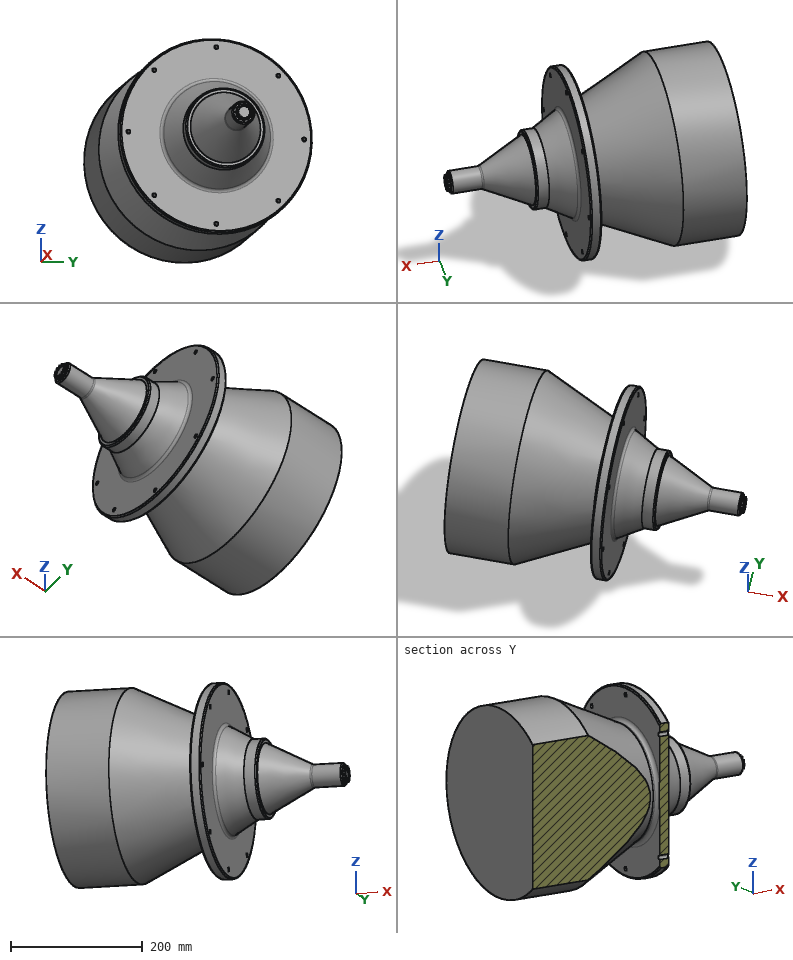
import cadquery as cq
import math

length = 434.0
outer_radius = 149.9

drum_length = 100.0
front_cone_end_x = 218.5
front_neck_radius = 93.7
front_fillet = 6.5

flange_start_x = 228.0
flange_thickness = 17.5
flange_end_x = flange_start_x + flange_thickness
flange_chamfer = 2.0
bolt_count = 8
bolt_circle_radius = 137.0
bolt_hole_diameter = 6.0

rear_blend_radius = 88.5
rear_blend_end_x = 249.0
rear_blend_end_radius = 83.5

collar_start_x = 287.5
collar_end_x = 307.0
collar_radius = 61.5
collar_chamfer = 2.0

rear_cone_radius = 54.5
stem_start_x = 380.5
stem_radius = 18.0
stem_blend_fillet = 5.5
stem_end_x = 429.5
stem_chamfer = 2.0

pin_count = 12
pin_circle_radius = 11.0
pin_diameter = 4.0
pin_base_radius = pin_circle_radius + pin_diameter / 4
pin_base_end_x = 432.0


def revolved_body():
    """Revolve the half outline, drawn as (X, radius), about the X axis."""
    arc_shift = front_fillet * math.sin(math.pi / 4)
    arc_rise = front_fillet * (1 - math.cos(math.pi / 4))
    blend_mid_x = flange_end_x + 0.3 * (rear_blend_end_x - flange_end_x)
    blend_mid_radius = rear_blend_radius - 0.6 * (rear_blend_radius - rear_blend_end_radius)
    outline = (
        cq.Workplane("XZ")
        .lineTo(0, outer_radius)
        .lineTo(drum_length, outer_radius)
        .lineTo(front_cone_end_x, front_neck_radius)
        .lineTo(flange_start_x - front_fillet, front_neck_radius)
        .threePointArc(
            (flange_start_x - front_fillet + arc_shift, front_neck_radius + arc_rise),
            (flange_start_x, front_neck_radius + front_fillet),
        )
        .lineTo(flange_start_x, outer_radius - flange_chamfer)
        .lineTo(flange_start_x + flange_chamfer, outer_radius)
        .lineTo(flange_end_x - flange_chamfer, outer_radius)
        .lineTo(flange_end_x, outer_radius - flange_chamfer)
        .lineTo(flange_end_x, rear_blend_radius)
        .threePointArc(
            (blend_mid_x, blend_mid_radius),
            (rear_blend_end_x, rear_blend_end_radius),
        )
        .lineTo(collar_start_x, collar_radius)
        .lineTo(collar_end_x - collar_chamfer, collar_radius)
        .lineTo(collar_end_x, collar_radius - collar_chamfer)
        .lineTo(collar_end_x, rear_cone_radius)
        .lineTo(stem_start_x, stem_radius)
        .lineTo(stem_end_x - stem_chamfer, stem_radius)
        .lineTo(stem_end_x, stem_radius - stem_chamfer)
        .lineTo(stem_end_x, pin_base_radius)
        .lineTo(pin_base_end_x, pin_base_radius)
        .lineTo(pin_base_end_x, 0)
        .close()
    )
    body = outline.revolve(360, (0, 0, 0), (1, 0, 0))
    stem_root = cq.selectors.BoxSelector(
        (stem_start_x - stem_blend_fillet, -stem_radius, -stem_radius),
        (stem_start_x + stem_blend_fillet, stem_radius, stem_radius),
    )
    return body.edges("%CIRCLE").edges(stem_root).fillet(stem_blend_fillet)


def bolt_holes():
    """Through holes in the flange, evenly spaced."""
    return (
        cq.Workplane("YZ", origin=(flange_start_x, 0, 0))
        .polarArray(bolt_circle_radius, 0, 360, bolt_count)
        .circle(bolt_hole_diameter / 2)
        .extrude(flange_thickness)
    )


def contact_pins():
    """Pins standing out of the stem, rooted below the end face."""
    return (
        cq.Workplane("YZ", origin=(stem_end_x - stem_chamfer, 0, 0))
        .polarArray(pin_circle_radius, 0, 360, pin_count)
        .circle(pin_diameter / 2)
        .extrude(length - stem_end_x + stem_chamfer)
    )


result = revolved_body().cut(bolt_holes()).union(contact_pins())